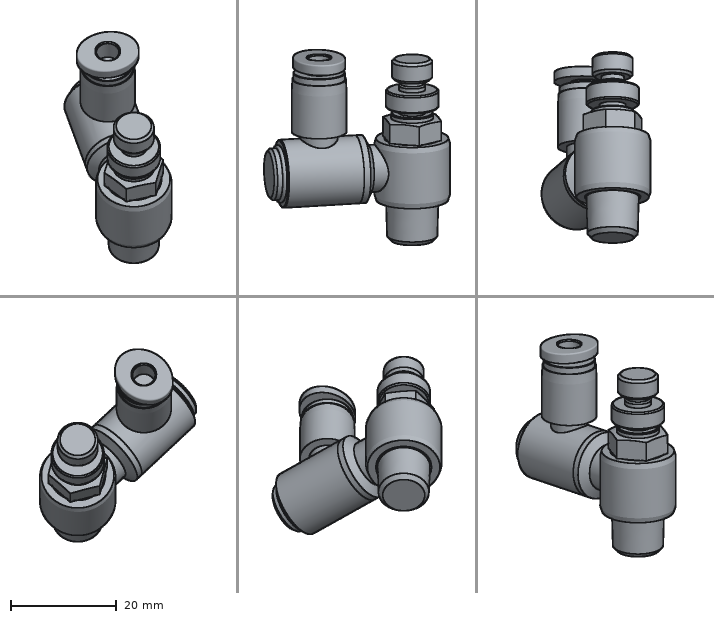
import cadquery as cq
import math


thread_bottom_z = -14.5
housing_bottom_z = -6.53
housing_top_z = 5.45
hex_top_z = 9.5
collar_top_z = 10.45
nut_bottom_z = 11.5
nut_top_z = 15.0
screw_top_z = 16.13
knob_bottom_z = 17.0
knob_top_z = 21.05

shank_radius = 5.28
thread_top_radius = 4.98
thread_end_radius = 4.8
thread_chamfer_height = 0.9
thread_chamfer_inset = 0.8
hex_across_flats = 10.05
hex_corner_radius = hex_across_flats / math.sqrt(3)
hex_face_radius = 4.43
hex_corner_drop = 0.3
collar_radius = 4.02
collar_chamfer = 0.22

screw_radius = 2.5
neck_radius = 2.18
screw_chamfer_height = 0.35
nut_radius = 5.0
nut_chamfer = 0.3
knob_radius = 3.85
knob_chamfer = 0.5

housing_radius = 7.2
housing_chamfer_height = 1.05
housing_chamfer_inset = 0.35
arm_radius = 4.5
arm_cone_small_x = -8.4
arm_cone_large_x = -9.52
elbow_joint_x = -10.77

barrel_radius = 6.5
barrel_end_x = -25.55
barrel_chamfer = 0.2
plug_radius = 4.95
plug_end_x = -27.82
plug_chamfer = 0.55
ring_center_radius = 5.1
ring_wire_radius = 0.4
ring_center_x = -25.9
port_x = -18.08
port_neck_radius = 3.5
port_radius = 5.2
port_taper_top_radius = 5.1
port_rim_radius = 4.9
port_bottom_z = 7.82
port_taper_bottom_z = 16.13
port_taper_top_z = 18.1
port_top_z = 19.45
port_rim_chamfer = 0.1

sleeve_radius = 2.65
sleeve_flare = 0.1
sleeve_flare_height = 0.3
sleeve_bottom_z = port_taper_top_z
flange_bottom_z = 20.45
flange_top_z = 22.4
flange_half_x = 4.9
flange_half_y = 5.98
flange_round = 0.25
tube_hole_radius = 2.15
tube_hole_chamfer = 0.25


def turned_z(profile):
    """Solid of revolution about Z from (radius, z) points, closed on the axis."""
    points = [(0, profile[0][1])] + profile + [(0, profile[-1][1])]
    return cq.Workplane("XZ").polyline(points).close().revolve(360, (0, 0), (0, 1))


def turned_x(profile):
    """Solid of revolution about X from (x, radius) points, closed on the axis."""
    points = [(profile[0][0], 0)] + profile + [(profile[-1][0], 0)]
    return cq.Workplane("XZ").polyline(points).close().revolve(360, (0, 0), (1, 0))


def cylinder_z(radius, bottom_z, top_z):
    return cq.Workplane("XY").workplane(offset=bottom_z).circle(radius).extrude(top_z - bottom_z)


def make_bolt():
    """Tapered thread, shank through the housing, hexagon and collar."""
    lower = turned_z([
        (thread_end_radius - thread_chamfer_inset, thread_bottom_z),
        (thread_end_radius, thread_bottom_z + thread_chamfer_height),
        (thread_top_radius, housing_bottom_z),
        (shank_radius, housing_bottom_z),
        (shank_radius, housing_top_z),
    ])
    hexagon = (
        cq.Workplane("XY").workplane(offset=housing_top_z)
        .transformed(rotate=(0, 0, 90))
        .polygon(6, 2 * hex_corner_radius)
        .extrude(hex_top_z - housing_top_z)
    )
    crown = turned_z([
        (hex_corner_radius, housing_top_z),
        (hex_corner_radius, hex_top_z - hex_corner_drop),
        (hex_face_radius, hex_top_z),
    ])
    collar = cylinder_z(collar_radius, hex_top_z, collar_top_z).faces(">Z").edges().chamfer(collar_chamfer)
    screw_hole = cylinder_z(screw_radius, housing_top_z, collar_top_z)
    return lower.union(hexagon.intersect(crown)).union(collar).cut(screw_hole)


def make_adjuster():
    """Screw seated in the bolt, carrying the lock ring and the knob."""
    return turned_z([
        (screw_radius, housing_top_z),
        (screw_radius, nut_bottom_z),
        (nut_radius - nut_chamfer, nut_bottom_z),
        (nut_radius, nut_bottom_z + nut_chamfer),
        (nut_radius, nut_top_z - nut_chamfer),
        (nut_radius - nut_chamfer, nut_top_z),
        (screw_radius, nut_top_z),
        (screw_radius, screw_top_z - screw_chamfer_height),
        (neck_radius, screw_top_z),
        (neck_radius, knob_bottom_z),
        (knob_radius - knob_chamfer, knob_bottom_z),
        (knob_radius, knob_bottom_z + knob_chamfer),
        (knob_radius, knob_top_z - knob_chamfer),
        (knob_radius - knob_chamfer, knob_top_z),
    ])


def make_housing():
    """Banjo ring around the shank with a side arm ending at the elbow."""
    ring = turned_z([
        (housing_radius - housing_chamfer_inset, housing_bottom_z),
        (housing_radius, housing_bottom_z + housing_chamfer_height),
        (housing_radius, housing_top_z - housing_chamfer_height),
        (housing_radius - housing_chamfer_inset, housing_top_z),
    ])
    arm = turned_x([
        (elbow_joint_x, barrel_radius),
        (arm_cone_large_x, barrel_radius),
        (arm_cone_small_x, arm_radius),
        (0, arm_radius),
    ])
    shank_bore = cylinder_z(shank_radius, housing_bottom_z, housing_top_z)
    return ring.union(arm).cut(shank_bore)


def make_elbow():
    """Horizontal barrel with an end plug and an upright hose port."""
    barrel = turned_x([
        (plug_end_x, plug_radius - plug_chamfer),
        (plug_end_x + plug_chamfer, plug_radius),
        (barrel_end_x, plug_radius),
        (barrel_end_x, barrel_radius - barrel_chamfer),
        (barrel_end_x + barrel_chamfer, barrel_radius),
        (elbow_joint_x, barrel_radius),
    ])
    retaining_ring = (
        cq.Workplane("XZ").center(ring_center_x, ring_center_radius)
        .circle(ring_wire_radius)
        .revolve(360, (0, -ring_center_radius), (1, -ring_center_radius))
    )
    port = turned_z([
        (port_neck_radius, 0),
        (port_neck_radius, port_bottom_z),
        (port_radius, port_bottom_z),
        (port_radius, port_taper_bottom_z),
        (port_taper_top_radius, port_taper_top_z),
        (port_rim_radius, port_taper_top_z),
        (port_rim_radius, port_top_z - port_rim_chamfer),
        (port_rim_radius - port_rim_chamfer, port_top_z),
    ]).translate((port_x, 0, 0))
    sleeve_socket = cylinder_z(sleeve_radius, sleeve_bottom_z, port_top_z).translate((port_x, 0, 0))
    return barrel.union(retaining_ring).union(port).cut(sleeve_socket)


def make_release_sleeve():
    """Oval push flange on a short round sleeve, with the tube hole through it."""
    flange = (
        cq.Workplane("XY").workplane(offset=flange_bottom_z)
        .ellipse(flange_half_x, flange_half_y)
        .extrude(flange_top_z - flange_bottom_z)
        .faces(">Z").edges().fillet(flange_round)
    )
    sleeve = turned_z([
        (sleeve_radius, sleeve_bottom_z),
        (sleeve_radius, flange_bottom_z - sleeve_flare_height),
        (sleeve_radius + sleeve_flare, flange_bottom_z),
    ])
    tube_hole = turned_z([
        (tube_hole_radius, sleeve_bottom_z),
        (tube_hole_radius, flange_top_z - tube_hole_chamfer),
        (tube_hole_radius + tube_hole_chamfer, flange_top_z),
    ])
    return flange.union(sleeve).cut(tube_hole).translate((port_x, 0, 0))


bolt = make_bolt()
adjuster = make_adjuster()
housing = make_housing()
elbow = make_elbow()
release_sleeve = make_release_sleeve()

result = cq.Compound.makeCompound([
    bolt.val(),
    adjuster.val(),
    housing.val(),
    elbow.val(),
    release_sleeve.val(),
])